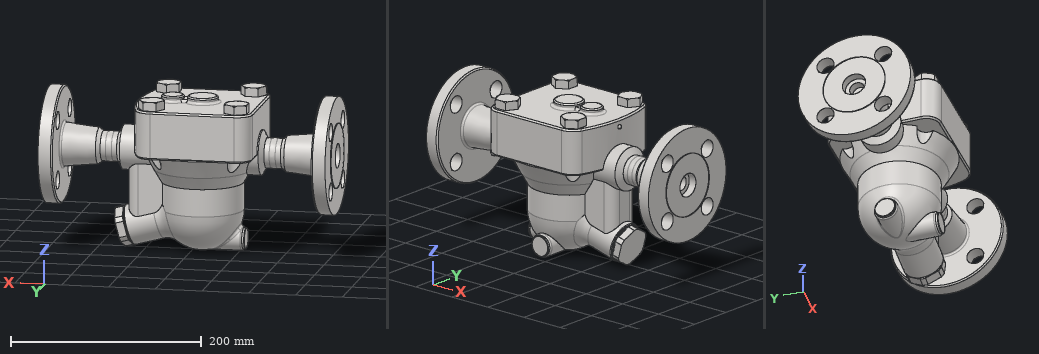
import cadquery as cq
import math


LENGTH = 309.0
INLET_X = -144.3
OUTLET_X = INLET_X + LENGTH
FLANGE_R = 62.57
FLANGE_BACK = 16.0
FLANGE_CHAMFER = 1.5
RAISED_FACE_R = 34.45
RAISED_FACE_H = 1.0
HUB_R = 23.2
HUB_FILLET = 2.2
HUB_SMALL_R = 19.5
HUB_END = 53.8
PIPE_R = 16.0
PIPE_START = 58.0
WELD_R = 16.53
WELD_START = 63.5
WELD_END = 70.0
PIPE_END = 75.7
SOCKET_R = 23.95
SOCKET_START = 80.3
BORE_R = 8.0
COUNTERBORE_R = 12.82
COUNTERBORE_DEPTH = 9.3
BORE_DEPTH = 18.5
FLANGE_HOLE_R = 9.42
FLANGE_HOLE_OFFSET = 31.98

BLOCK_HALF = 62.57
BLOCK_BOW_X = 69.8
BLOCK_BOTTOM = 0.5
BLOCK_TOP = 52.0
BLOCK_EDGE = 2.0
CORNER_R = 16.7
BOW_R = 154.5
BOW_CORNER_R = 18.5

SCREW_OFFSET = 45.5
SCREW_FLATS = 24.0
SCREW_HEAD_H = 9.5
SCREW_CHAMFER = 1.2
SPOTFACE_R = 9.73

PAD_H = 6.5
PAD_COVE = 3.0
PAD_CHAMFER = 1.5
LARGE_PAD_R = 16.22
SMALL_PAD_R = 12.0
SMALL_PAD_X = 31.8
BRIDGE_HALF_WIDTH = 6.8
PIN_R = 2.5
PIN_Z = 43.5

BOWL_R = 44.0
BOWL_CENTER_Z = -62.5
CONE_BOTTOM_Z = -33.0
CONE_TOP_R = 52.0
CONE_TOP_Z = -19.2
LIP_R = 62.5
LIP_Z = BLOCK_BOTTOM + BLOCK_EDGE

DRAIN_R = 13.0
DRAIN_REACH = 46.7
DRAIN_Z = -92.7
DRAIN_ROOT_FILLET = 3.0
DRAIN_SHOULDER = 44.0
DRAIN_ROUND = 1.5
DRAIN_TIP_CHAMFER = 0.5

BRANCH_TILT = 15.0
BRANCH_R = 22.0
BRANCH_FILLET = 18.5
BRANCH_END = 80.3
BRANCH_CHAMFER = 1.0
CAP_NECK_R = 19.0
CAP_START = 82.0
CAP_END = 91.0
CAP_R = 21.3
CAP_FLATS = 39.5
WEB_HALF_WIDTH = 19.8
WEB_END_X = 77.1
WEB_CORNER_R = 11.6


def hexagon(flats, height):
    """Hexagonal prism on the XY plane with corners on the X axis."""
    return cq.Workplane("XY").polygon(6, flats / math.cos(math.pi / 6)).extrude(height)


def pipe_half(face_x, direction):
    """Flange, hub, welded pipe and socket, from a flange face to the bowl axis."""
    hub_start = FLANGE_BACK + HUB_FILLET
    weld_middle = (WELD_START + WELD_END) / 2
    cove = HUB_FILLET * (1 - math.sqrt(0.5))
    profile = (
        cq.Workplane("XY")
        .moveTo(0, 0)
        .lineTo(0, RAISED_FACE_R)
        .lineTo(RAISED_FACE_H, RAISED_FACE_R)
        .lineTo(RAISED_FACE_H, FLANGE_R)
        .lineTo(FLANGE_BACK - FLANGE_CHAMFER, FLANGE_R)
        .lineTo(FLANGE_BACK, FLANGE_R - FLANGE_CHAMFER)
        .lineTo(FLANGE_BACK, HUB_R + HUB_FILLET)
        .threePointArc((FLANGE_BACK + cove, HUB_R + cove), (hub_start, HUB_R))
        .lineTo(HUB_END, HUB_SMALL_R)
        .lineTo(PIPE_START, PIPE_R)
        .lineTo(WELD_START, PIPE_R)
        .threePointArc((weld_middle, WELD_R), (WELD_END, PIPE_R))
        .lineTo(PIPE_END, PIPE_R)
        .lineTo(SOCKET_START, SOCKET_R)
        .lineTo(abs(face_x), SOCKET_R)
        .lineTo(abs(face_x), 0)
        .close()
    )
    half = profile.revolve(360, (0, 0, 0), (1, 0, 0))
    signs = (-1, 1)
    hole_places = [(y * FLANGE_HOLE_OFFSET, z * FLANGE_HOLE_OFFSET) for y in signs for z in signs]
    face = cq.Workplane("YZ")
    half = half.cut(face.pushPoints(hole_places).circle(FLANGE_HOLE_R).extrude(FLANGE_BACK))
    half = half.cut(face.circle(COUNTERBORE_R).extrude(COUNTERBORE_DEPTH))
    half = half.cut(face.circle(BORE_R).extrude(BORE_DEPTH))
    if direction < 0:
        half = half.rotate((0, 0, 0), (0, 0, 1), 180)
    return half.translate((face_x, 0, 0))


def cover_block():
    """Block with two round corners and one bowed side."""
    height = BLOCK_TOP - BLOCK_BOTTOM
    base = cq.Workplane("XY", origin=(0, 0, BLOCK_BOTTOM))
    bow = base.center(BLOCK_BOW_X - BOW_R, 0).circle(BOW_R).extrude(height)
    slab_length = 2 * BLOCK_BOW_X
    slab_center_x = slab_length / 2 - BLOCK_HALF
    slab = base.center(slab_center_x, 0).rect(slab_length, 2 * BLOCK_HALF).extrude(height)
    block = slab.intersect(bow)
    block = block.edges("|Z and <X").fillet(CORNER_R)
    for side in (">Y", "<Y"):
        block = block.faces(side).edges("|Z and >X").fillet(BOW_CORNER_R)
    return block.faces("<Z or >Z").chamfer(BLOCK_EDGE)


def pad(radius, x):
    """Round pad on the cover with a coved foot and a chamfered rim."""
    cove = PAD_COVE * (1 - math.sqrt(0.5))
    profile = (
        cq.Workplane("XZ")
        .lineTo(radius + PAD_COVE, 0)
        .threePointArc((radius + cove, cove), (radius, PAD_COVE))
        .lineTo(radius, PAD_H - PAD_CHAMFER)
        .lineTo(radius - PAD_CHAMFER, PAD_H)
        .lineTo(0, PAD_H)
        .close()
    )
    return profile.revolve(360, (0, 0, 0), (0, 1, 0)).translate((x, 0, BLOCK_TOP))


def pad_bridge():
    """Low coved rib that joins the two pads."""
    cove = PAD_COVE * (1 - math.sqrt(0.5))
    w = BRIDGE_HALF_WIDTH
    return (
        cq.Workplane("YZ", origin=(0, 0, BLOCK_TOP))
        .moveTo(-w - PAD_COVE, 0)
        .threePointArc((-w - cove, cove), (-w, PAD_COVE))
        .lineTo(w, PAD_COVE)
        .threePointArc((w + cove, cove), (w + PAD_COVE, 0))
        .close()
        .extrude(SMALL_PAD_X)
    )


def screw_head(x, y, turn):
    """Hexagon head with its upper corners turned off."""
    round_blank = cq.Workplane("XY").circle(SCREW_FLATS / math.sqrt(3)).extrude(SCREW_HEAD_H)
    round_blank = round_blank.faces(">Z").chamfer(SCREW_CHAMFER)
    head = hexagon(SCREW_FLATS, SCREW_HEAD_H).intersect(round_blank)
    return head.rotate((0, 0, 0), (0, 0, 1), turn).translate((x, y, BLOCK_TOP))


def bowl():
    """Round-bottomed bowl that flares out to the block."""
    side = BOWL_R * math.sqrt(0.5)
    profile = (
        cq.Workplane("XZ")
        .moveTo(0, BOWL_CENTER_Z - BOWL_R)
        .threePointArc((side, BOWL_CENTER_Z - side), (BOWL_R, BOWL_CENTER_Z))
        .lineTo(BOWL_R, CONE_BOTTOM_Z)
        .lineTo(CONE_TOP_R, CONE_TOP_Z)
        .lineTo(LIP_R, BLOCK_BOTTOM)
        .lineTo(LIP_R, LIP_Z)
        .lineTo(0, LIP_Z)
        .close()
    )
    return profile.revolve(360, (0, 0, 0), (0, 1, 0))


def drain_boss():
    """Round-shouldered boss that runs from the bowl axis towards -X, with a chamfered tip."""
    boss = cq.Workplane("YZ", origin=(0, 0, DRAIN_Z)).circle(DRAIN_R).extrude(-DRAIN_SHOULDER)
    boss = boss.faces("<X").edges().fillet(DRAIN_ROUND)
    tip = cq.Workplane("YZ", origin=(0, 0, DRAIN_Z)).circle(DRAIN_R - DRAIN_ROUND).extrude(-DRAIN_REACH)
    return boss.union(tip.faces("<X").chamfer(DRAIN_TIP_CHAMFER))


def branch():
    """Strainer branch with a large root fillet on the bowl and a hexagonal cap."""
    root_r = BRANCH_R + BRANCH_FILLET
    center_distance = BOWL_R + BRANCH_FILLET
    root_x = math.sqrt(center_distance**2 - root_r**2)
    bowl_ratio = BOWL_R / center_distance
    bowl_angle = math.atan2(root_r, root_x)
    mid_angle = (math.pi / 2 + bowl_angle) / 2
    root_mid = (
        root_x - BRANCH_FILLET * math.cos(mid_angle),
        root_r - BRANCH_FILLET * math.sin(mid_angle),
    )
    stem = (
        cq.Workplane("XZ")
        .lineTo(root_x * bowl_ratio, root_r * bowl_ratio)
        .threePointArc(root_mid, (root_x, BRANCH_R))
        .lineTo(BRANCH_END - BRANCH_CHAMFER, BRANCH_R)
        .lineTo(BRANCH_END, BRANCH_R - BRANCH_CHAMFER)
        .lineTo(BRANCH_END, CAP_NECK_R)
        .lineTo(CAP_START, CAP_NECK_R)
        .lineTo(CAP_START, 0)
        .close()
        .revolve(360, (0, 0, 0), (1, 0, 0))
    )
    cap_h = CAP_END - CAP_START
    cap = hexagon(CAP_FLATS, cap_h).intersect(cq.Workplane("XY").circle(CAP_R).extrude(cap_h))
    cap = cap.rotate((0, 0, 0), (0, 1, 0), 90).translate((CAP_START, 0, 0))
    tilted = stem.union(cap).rotate((0, 0, 0), (0, 1, 0), BRANCH_TILT)
    return tilted.translate((0, 0, BOWL_CENTER_Z))


def web():
    """Upright web between the outlet socket and the branch axis."""
    end_drop = WEB_END_X * math.tan(math.radians(BRANCH_TILT))
    return (
        cq.Workplane("XZ")
        .lineTo(WEB_END_X, 0)
        .lineTo(WEB_END_X, BOWL_CENTER_Z - end_drop)
        .lineTo(0, BOWL_CENTER_Z)
        .close()
        .extrude(WEB_HALF_WIDTH, both=True)
        .edges("|Z and >X")
        .fillet(WEB_CORNER_R)
    )


body = bowl().union(drain_boss())
body = body.edges("%BSPLINE").fillet(DRAIN_ROOT_FILLET)
body = body.union(drain_boss().rotate((0, 0, 0), (0, 0, 1), 90))

screw_places = [(x, y) for x in (-SCREW_OFFSET, SCREW_OFFSET) for y in (-SCREW_OFFSET, SCREW_OFFSET)]
spotfaces = (
    cq.Workplane("XY", origin=(0, 0, CONE_BOTTOM_Z))
    .pushPoints(screw_places)
    .circle(SPOTFACE_R)
    .extrude(BLOCK_BOTTOM - CONE_BOTTOM_Z)
)
body = body.cut(spotfaces)

body = body.union(cover_block()).union(web()).union(branch())
body = body.union(pipe_half(INLET_X, 1)).union(pipe_half(OUTLET_X, -1))

for x, y in screw_places:
    body = body.union(screw_head(x, y, 0 if x * y > 0 else 90))
body = body.union(pad(LARGE_PAD_R, 0)).union(pad(SMALL_PAD_R, SMALL_PAD_X)).union(pad_bridge())
body = body.union(cq.Workplane("XY").sphere(PIN_R).translate((BLOCK_BOW_X, 0, PIN_Z)))

result = body